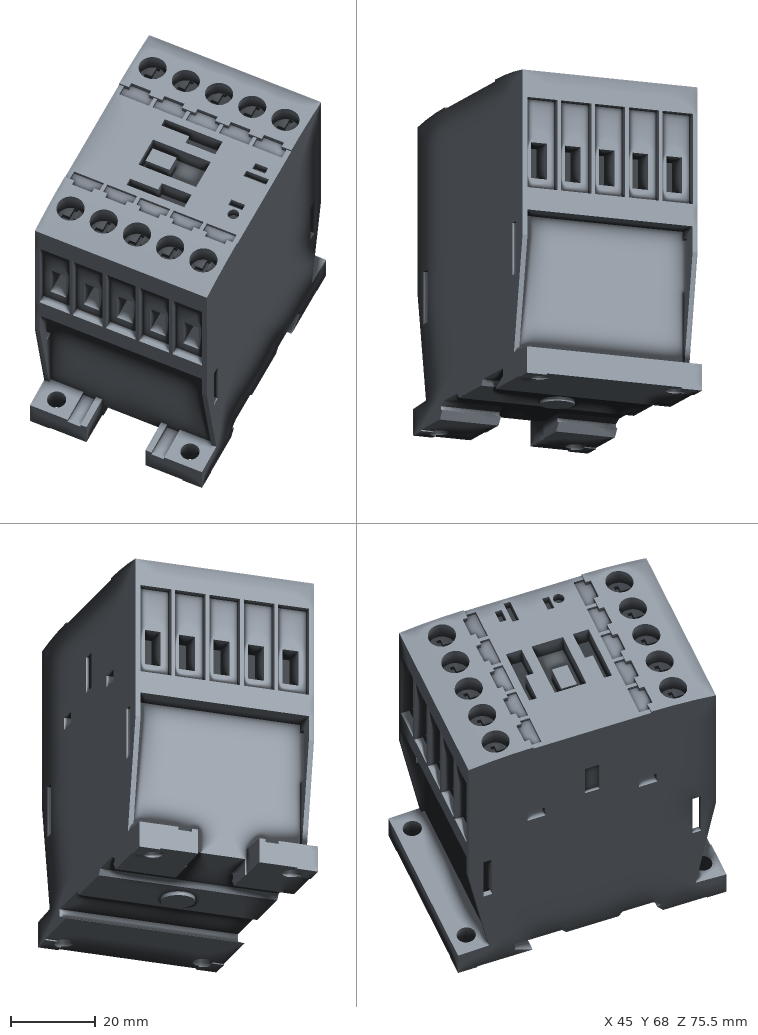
import cadquery as cq

width = 45.0
length = 68.0
height = 75.5
half_width = width / 2
half_length = length / 2

body_half = 31.3
waist_half = 26.2
taper_z = 34.3
foot_inner_z = 6.8
foot_outer_z = 6.4
base_z = 0.3
deck_half = 14.95
deck_z = 75.0
shoulder_z = 74.3

channel_z = 4.3
rail_hook_wall = 19.6
rail_hook_tip = 15.1
rail_hook_root_z = 2.4
spring_ramp_y = 15.5
spring_wall_y = 17.3
spring_wall_top_z = 3.4
spring_wall_bottom_z = 2.6
spring_tip_y = 16.45
spring_tip_z = 2.2
spring_foot_y = 18.0
hump_root = 7.7
hump_half = 6.65
hump_z = 3.0
plug_radius = 4.1
plug_z = 2.05

pole_count = 5
pole_pitch = 8.7
bay_width = 7.8
bay_bottom_z = 45.8
bay_top_z = 67.7
bay_depth = 2.1
wire_slot_width = 4.0
wire_slot_bottom_z = 48.7
wire_slot_top_z = 57.4
wire_slot_depth = 6.05

screw_y = 22.5
screw_radius = 3.3
screw_head_z = 70.8
cross_width = 1.05
cross_long = 6.5
cross_short = 4.5
cross_depth = 1.1

clip_inner_y = 12.4
clip_outer_y = 16.2
clip_tab_width = 5.2
clip_floor_z = 74.3

side_wall = 1.3
panel_y = 25.35
panel_top_z = 40.4
side_slot_outer_y = 27.55
side_slot_bottom_z = 25.6
side_slot_top_z = 38.35

foot_gap_half = 7.7
foot_gap_under_half = 7.4
foot_groove_inner_x = 9.3
foot_groove_outer_x = 12.6
foot_groove_z = 5.65
mount_hole_x = 17.4
mount_hole_y = 30.0
mount_hole_radius = 2.3
pad_inner_x = 17.35
pad_inner_y = 29.05

center_left_x = -8.45
center_right_x = 6.65
center_half_y = 4.0
center_depth = 4.75
button_left_x = -7.55
button_right_x = -1.3
button_half_y = 2.0
button_top_z = 74.6
latch_step_x = -1.1
latch_inner_y = 6.5
latch_step_y = 8.5
latch_outer_y = 10.5
latch_depth = 4.5
marker_depth = 2.3
marker_boxes = [
    (16.3, 19.6, 6.5, 8.2),
    (15.3, 21.2, 3.7, 5.35),
    (15.7, 19.3, -5.35, -3.7),
]
lamp_x = 18.0
lamp_y = -7.3
lamp_radius = 1.35
lamp_depth = 2.3

side_key_half = 1.8
side_key_bottom_z = 52.6
side_key_top_z = 61.6
side_key_depth = 0.75
side_pocket_inner_y = 11.85
side_pocket_outer_y = 16.45
side_pocket_bottom_z = 48.8
side_pocket_top_z = 51.8
side_pocket_depth = 3.4

pole_xs = [(i - (pole_count - 1) / 2) * pole_pitch for i in range(pole_count)]


def block(x0, x1, y0, y1, z0, z1):
    """Box spanning the given ranges; each pair may come in either order."""
    center = ((x0 + x1) / 2, (y0 + y1) / 2, (z0 + z1) / 2)
    return cq.Workplane("XY", origin=center).box(abs(x1 - x0), abs(y1 - y0), abs(z1 - z0))


def upright(x, y, radius, z0, z1):
    """Vertical cylinder."""
    return cq.Workplane("XY", origin=(x, y, z0)).circle(radius).extrude(z1 - z0)


def dome_z(y):
    """Height of the terminal cover, level at the deck edge and falling outwards."""
    drop = height - shoulder_z
    return height - drop * ((y - deck_half) / (body_half - deck_half)) ** 2


def housing():
    """Side profile of housing, feet and rail channel, extruded over the full width."""
    mid_y = (deck_half + body_half) / 2
    profile = (
        cq.Workplane("YZ", origin=(-half_width, 0, 0))
        .moveTo(-half_length, base_z)
        .lineTo(-half_length, foot_outer_z)
        .lineTo(-waist_half, foot_inner_z)
        .lineTo(-body_half, taper_z)
        .lineTo(-body_half, shoulder_z)
        .threePointArc((-mid_y, dome_z(mid_y)), (-deck_half, height))
        .lineTo(-deck_half, deck_z)
        .lineTo(deck_half, deck_z)
        .lineTo(deck_half, height)
        .threePointArc((mid_y, dome_z(mid_y)), (body_half, shoulder_z))
        .lineTo(body_half, taper_z)
        .lineTo(waist_half, foot_inner_z)
        .lineTo(half_length, foot_outer_z)
        .lineTo(half_length, base_z)
        .lineTo(rail_hook_tip, base_z)
        .lineTo(rail_hook_wall, rail_hook_root_z)
        .lineTo(rail_hook_wall, channel_z)
        .lineTo(hump_root, channel_z)
        .lineTo(hump_half, hump_z)
        .lineTo(-hump_half, hump_z)
        .lineTo(-hump_root, channel_z)
        .lineTo(-spring_ramp_y, channel_z)
        .lineTo(-spring_wall_y, spring_wall_top_z)
        .lineTo(-spring_wall_y, spring_wall_bottom_z)
        .lineTo(-spring_tip_y, spring_tip_z)
        .lineTo(-spring_foot_y, base_z)
        .close()
    )
    return profile.extrude(width)


def corner_pads():
    """Low standing pads under the four corners."""
    pads = cq.Workplane("XY")
    for sx in (-1, 1):
        for sy in (-1, 1):
            pads = pads.add(block(sx * pad_inner_x, sx * half_width,
                                  sy * pad_inner_y, sy * half_length, 0, foot_outer_z / 2))
    return pads.combine()


def end_panel(end):
    """Recess between the side walls, its floor continuing the slope of the foot top."""
    inner = half_width - side_wall
    slope = (foot_inner_z - foot_outer_z) / (half_length - waist_half)
    floor_z = foot_outer_z + slope * (half_length - panel_y)
    return (
        cq.Workplane("YZ", origin=(-inner, 0, 0))
        .moveTo(end * panel_y, floor_z)
        .lineTo(end * half_length, foot_outer_z)
        .lineTo(end * half_length, panel_top_z)
        .lineTo(end * panel_y, panel_top_z)
        .close()
        .extrude(2 * inner)
    )


def terminal_bays(end):
    """Wire entry recesses with a deeper clamp slot in each."""
    floor_y = end * (body_half - bay_depth)
    slot_y = end * (body_half - bay_depth - wire_slot_depth)
    cuts = cq.Workplane("XY")
    for x in pole_xs:
        cuts = cuts.add(block(x - bay_width / 2, x + bay_width / 2,
                              floor_y, end * half_length, bay_bottom_z, bay_top_z))
        cuts = cuts.add(block(x - wire_slot_width / 2, x + wire_slot_width / 2,
                              slot_y, end * half_length, wire_slot_bottom_z, wire_slot_top_z))
    return cuts.combine()


def screw_holes(end):
    """Round wells with a cross recess in each screw head at the bottom."""
    y = end * screw_y
    floor = screw_head_z - cross_depth
    cuts = cq.Workplane("XY")
    for x in pole_xs:
        well = upright(x, y, screw_radius, screw_head_z, height)
        bar_y = block(x - cross_width / 2, x + cross_width / 2,
                      y - cross_long / 2, y + cross_long / 2, floor, height)
        bar_x = block(x - cross_short / 2, x + cross_short / 2,
                      y - cross_width / 2, y + cross_width / 2, floor, height)
        cuts = cuts.add(well.union(bar_y).union(bar_x))
    return cuts.combine()


def clip_recesses(end):
    """T shaped label recesses straddling the edge of the deck."""
    cuts = cq.Workplane("XY")
    for x in pole_xs:
        cuts = cuts.add(block(x - bay_width / 2, x + bay_width / 2,
                              end * clip_inner_y, end * deck_half, clip_floor_z, height))
        cuts = cuts.add(block(x - clip_tab_width / 2, x + clip_tab_width / 2,
                              end * clip_inner_y, end * clip_outer_y, clip_floor_z, height))
    return cuts.combine()


def latch_recess(end):
    """L shaped recess, wider on its +X part."""
    floor = deck_z - latch_depth
    narrow = block(center_left_x, center_right_x,
                   end * latch_step_y, end * latch_outer_y, floor, deck_z)
    wide = block(latch_step_x, center_right_x,
                 end * latch_inner_y, end * latch_outer_y, floor, deck_z)
    return narrow.union(wide)


def center_recess():
    """Rectangular window around the raised actuator button."""
    floor = deck_z - center_depth
    window = block(center_left_x, center_right_x, -center_half_y, center_half_y, floor, deck_z)
    button = block(button_left_x, button_right_x, -button_half_y, button_half_y,
                   floor, button_top_z)
    return window.cut(button)


def marker_recesses():
    """Small rectangular windows and a round lamp hole near the +X edge."""
    cuts = upright(lamp_x, lamp_y, lamp_radius, deck_z - lamp_depth, deck_z)
    for x0, x1, y0, y1 in marker_boxes:
        cuts = cuts.union(block(x0, x1, y0, y1, deck_z - marker_depth, deck_z))
    return cuts


def side_recesses():
    """Shallow key and two pockets in the -X side."""
    key_x = side_key_depth - half_width
    pocket_x = side_pocket_depth - half_width
    cuts = block(-half_width, key_x, -side_key_half, side_key_half,
                 side_key_bottom_z, side_key_top_z)
    for end in (-1, 1):
        cuts = cuts.union(block(-half_width, pocket_x,
                                end * side_pocket_inner_y, end * side_pocket_outer_y,
                                side_pocket_bottom_z, side_pocket_top_z))
    return cuts


def side_slots(end):
    """Upright slots through both side walls, flush with the end panel."""
    return block(-half_width, half_width, end * panel_y, end * side_slot_outer_y,
                 side_slot_bottom_z, side_slot_top_z)


def foot_gap():
    """Opening that splits the front foot in two and runs into the rail channel."""
    outside = block(-foot_gap_half, foot_gap_half, -half_length, -panel_y, 0, panel_top_z)
    under = block(-foot_gap_under_half, foot_gap_under_half, -half_length, 0, 0, channel_z)
    hump = block(-half_width, half_width, -hump_root, 0, 0, channel_z)
    return outside.union(under.cut(hump))


def foot_grooves():
    """Grooves along Y in the top of the two front feet."""
    cuts = cq.Workplane("XY")
    for side in (-1, 1):
        cuts = cuts.add(block(side * foot_groove_inner_x, side * foot_groove_outer_x,
                              -half_length, -panel_y, foot_groove_z, panel_top_z))
    return cuts.combine()


def mount_holes(end):
    """Vertical fixing holes at the corners."""
    cuts = cq.Workplane("XY")
    for side in (-1, 1):
        cuts = cuts.add(upright(side * mount_hole_x, end * mount_hole_y,
                                mount_hole_radius, 0, foot_inner_z))
    return cuts.combine()


result = housing().union(corner_pads())
for end in (-1, 1):
    result = (
        result.cut(end_panel(end))
        .cut(terminal_bays(end))
        .cut(screw_holes(end))
        .cut(clip_recesses(end))
        .cut(latch_recess(end))
        .cut(side_slots(end))
        .cut(mount_holes(end))
    )
result = result.cut(center_recess()).cut(marker_recesses()).cut(side_recesses())
result = result.cut(foot_gap()).cut(foot_grooves())
result = result.union(upright(0, 0, plug_radius, plug_z, channel_z))